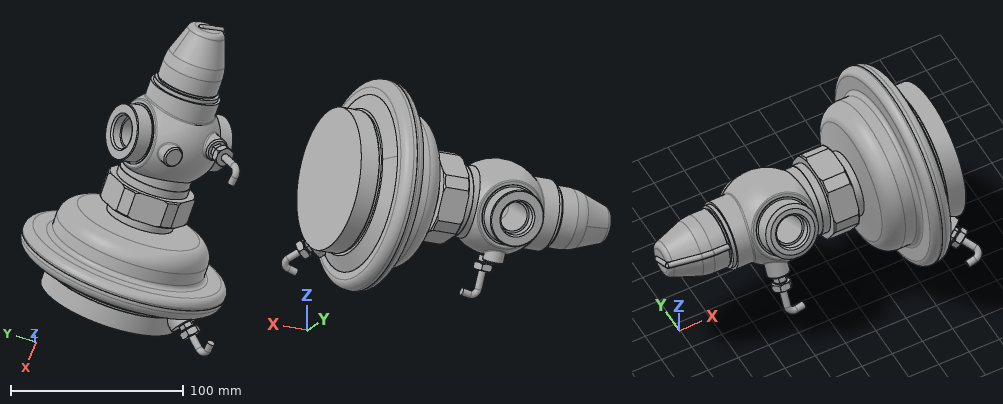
import cadquery as cq
import math


PORT_TILT = 30.0
PORT_X = 72.6
PIPE_R = 21.4
CAP_FACE_X = 1.6
CAP_FACE_R = 7.7
CAP_SHOULDER_X = 4.4
CAP_SHOULDER_R = 11.5
CAP_ROUND_MID = (2.2, 10.0)
CAP_CONE_END_X = 20.7
CAP_CONE_END_R = 17.2
CAP_R = 18.5
CAP_STRAIGHT_X = 27.6
CAP_END_X = 37.7
CAP_GROOVE_R = 17.7
CAP_GROOVE_END_X = 39.0
COLLAR_R = 19.8
COLLAR_END_X = 41.3
BAND_X = 97.3
BAND_R = 21.8

STRAP_R = 1.8
STRAP_RISE = 0.4
STRAP_TIP_R = 10.6
STRAP_OVERLAP = 4.2

BARREL_R = 28.4
BARREL_END_R = 20.3
BARREL_HALF = 22.9
BARREL_FILLET = 1.1
PORT_R = 16.8
PORT_REACH = 33.5
PORT_FRONT_REACH = 35.0
PORT_COLLAR_R = 18.0
PORT_COLLAR_REACH = 23.5
PORT_CHAMFER = 2.7
PORT_CHAMFER_LEN = 1.1
PORT_BACK_CHAMFER = 0.5
PORT_MOUTH_R = 11.0
PORT_BORE_R = 9.9
PORT_BORE_DEPTH = 6.0
PASSAGE_R = 8.6

BOSS_R = 7.0
PLUG_R = 6.2
BOSS_OFFSET = 13.9
BOSS_REACH = 30.5
BOSS_X = 65.0
BOSS_CHAMFER = 1.0
BOSS_FILLET = 0.7

NECK_HEX = 9.0
NECK_LEN = 4.0
FITTING_GROOVE_R = 3.8
FITTING_GROOVE_LEN = 0.7
FITTING_NUT_HEX = 12.8
FITTING_NUT_LEN = 4.4
FITTING_CHAMFER = 0.7
TUBE_R = 2.4
TUBE_BEND_R = 4.0
TUBE_END_LEN = 5.5
VALVE_TUBE_TURN = 100.0
ACTUATOR_TUBE_TURN = 115.0
ACTUATOR_TUBE_ROLL = 14.0
VALVE_TUBE_LEN = 11.5
ACTUATOR_TUBE_LEN = 8.5

NUT_X = 102.3
NUT_END_X = 118.9
NUT_SIDES = 6
NUT_APOTHEM = 25.0
NUT_CORNER_APOTHEM = 26.7
NUT_ROUND_R = 27.0
NUT_CHAMFER = 1.1

NECK_R = 20.3
DOME_X = 125.1
DOME_R = 46.6
DOME_ROUND_R = 10.6
DOME_ROUND_X = 138.1
DOME_TILT = 8.0
RIM_X = 148.4
RIM_END_X = 162.0
RIM_R = 62.5
RIM_ROUND = 4.8
RIM_BACK_ROUND = 5.7
DOME_FILLET = 2.7
SEAM_X = 154.2
SEAM_DEPTH = 0.2
BACK_CONE_R = 52.3
BACK_CONE_END_X = 167.2
BACK_CONE_END_R = 43.4
BACK_GROOVE_R = 41.5
BACK_GROOVE_END_X = 168.8
COVER_R = 42.3
COVER_END_X = 180.5

FITTING_TILT = 30.0
FITTING_LEAN = 54.0
FITTING_X = 169.4
FITTING_R = 48.8
ACTUATOR_BOSS_R = 9.1
ACTUATOR_BOSS_LEN = 12.0
ACTUATOR_BOSS_RIM = 1.1


def circle_point(centre_x, centre_y, radius, degrees):
    """Point at an angle on a circle."""
    angle = math.radians(degrees)
    return (centre_x + radius * math.cos(angle), centre_y + radius * math.sin(angle))


def cylinder(origin, direction, radius, length):
    return cq.Workplane(cq.Solid.makeCylinder(radius, length, cq.Vector(*origin), cq.Vector(*direction)))


def turned(profile):
    """Revolve a closed (x, radius) profile about X."""
    return profile.close().revolve(360, (0, 0, 0), (1, 0, 0))


def hexagon(plane, across_corners, length):
    return cq.Workplane(plane).polygon(6, across_corners).extrude(length)


def tube_fitting(plane, straight, turn):
    """Hex neck, nut and bent tube along the plane normal; the tube bends towards the plane's x."""
    def lifted(height):
        return cq.Plane(plane.toWorldCoords((0, 0, height)), plane.xDir, plane.zDir)

    nut_z = NECK_LEN + FITTING_GROOVE_LEN
    tube_z = nut_z + FITTING_NUT_LEN
    fitting = hexagon(plane, NECK_HEX, NECK_LEN)
    fitting = fitting.union(cq.Workplane(plane).circle(FITTING_GROOVE_R).extrude(nut_z))
    nut = hexagon(lifted(nut_z), FITTING_NUT_HEX, FITTING_NUT_LEN)
    rounding = (
        cq.Workplane(lifted(nut_z)).circle(FITTING_NUT_HEX / 2).extrude(FITTING_NUT_LEN)
        .edges().chamfer(FITTING_CHAMFER)
    )
    fitting = fitting.union(nut.intersect(rounding))

    def bend_point(degrees):
        angle = math.radians(degrees)
        return (TUBE_BEND_R * (1 - math.cos(angle)), straight + TUBE_BEND_R * math.sin(angle))

    bend_end = bend_point(turn)
    heading = math.radians(turn)
    tube_end = (
        bend_end[0] + TUBE_END_LEN * math.sin(heading),
        bend_end[1] + TUBE_END_LEN * math.cos(heading),
    )
    base = lifted(tube_z)
    bend_plane = cq.Plane(base.origin, base.xDir, base.xDir.cross(base.zDir))
    path = (
        cq.Workplane(bend_plane)
        .lineTo(0, straight)
        .threePointArc(bend_point(turn / 2), bend_end)
        .lineTo(*tube_end)
    )
    tube = cq.Workplane(base).circle(TUBE_R).sweep(path)
    return fitting.union(tube)


def valve_run():
    """Cap, collar and pipe turned about X."""
    profile = (
        cq.Workplane("XY")
        .moveTo(CAP_FACE_X, 0)
        .lineTo(CAP_FACE_X, CAP_FACE_R)
        .threePointArc(CAP_ROUND_MID, (CAP_SHOULDER_X, CAP_SHOULDER_R))
        .lineTo(CAP_CONE_END_X, CAP_CONE_END_R)
        .tangentArcPoint((CAP_STRAIGHT_X, CAP_R), relative=False)
        .lineTo(CAP_END_X, CAP_R)
        .lineTo(CAP_END_X, CAP_GROOVE_R)
        .lineTo(CAP_GROOVE_END_X, CAP_GROOVE_R)
        .lineTo(CAP_GROOVE_END_X, COLLAR_R)
        .lineTo(COLLAR_END_X, COLLAR_R)
        .lineTo(COLLAR_END_X, PIPE_R)
        .lineTo(BAND_X, PIPE_R)
        .lineTo(BAND_X, BAND_R)
        .lineTo(NUT_X, BAND_R)
        .lineTo(NUT_X, 0)
    )
    return turned(profile)


def valve_barrel():
    """Belly of the valve with flat ends around the ports."""
    return (
        cq.Workplane("XY", origin=(PORT_X, 0, 0))
        .moveTo(0, -BARREL_HALF)
        .lineTo(BARREL_END_R, -BARREL_HALF)
        .threePointArc((BARREL_R, 0), (BARREL_END_R, BARREL_HALF))
        .lineTo(0, BARREL_HALF)
        .close()
        .revolve(360, (0, 0, 0), (0, 1, 0))
        .edges("<Y or >Y").fillet(BARREL_FILLET)
    )


def cap_strap():
    """Round strap that follows the cap on the -Y side and crosses its tip."""
    straight_r = CAP_R + STRAP_RISE
    path = (
        cq.Workplane("XY")
        .moveTo(CAP_END_X, -straight_r)
        .lineTo(CAP_STRAIGHT_X, -straight_r)
        .lineTo(CAP_CONE_END_X, -CAP_CONE_END_R - STRAP_RISE)
        .lineTo(STRAP_R, -STRAP_TIP_R)
        .lineTo(STRAP_R, STRAP_OVERLAP)
    )
    section = cq.Workplane("YZ", origin=(CAP_END_X, -straight_r, 0)).circle(STRAP_R)
    strap = section.sweep(path, transition="round")
    return strap.union(cq.Workplane("XY", origin=(STRAP_R, STRAP_OVERLAP, 0)).sphere(STRAP_R))


def port_bore(face_y):
    """Bore from a port face inwards and passage on to the far side, with a countersunk mouth."""
    inward = -math.copysign(1, face_y)
    mouth_depth = PORT_MOUTH_R - PORT_BORE_R
    return (
        cq.Workplane("XY", origin=(PORT_X, face_y, 0))
        .lineTo(PORT_MOUTH_R, 0)
        .lineTo(PORT_BORE_R, inward * mouth_depth)
        .lineTo(PORT_BORE_R, inward * PORT_BORE_DEPTH)
        .lineTo(PASSAGE_R, inward * PORT_BORE_DEPTH)
        .lineTo(PASSAGE_R, -face_y)
        .lineTo(0, -face_y)
        .close()
        .revolve(360, (0, 0, 0), (0, 1, 0))
    )


def valve_core():
    """Run and barrel with rounded joints between them."""
    core = valve_run().union(valve_barrel())
    reach = PIPE_R + BARREL_FILLET
    joints = cq.selectors.BoxSelector(
        (PORT_X - reach, -BARREL_FILLET, -BARREL_FILLET), (PORT_X + reach, BARREL_FILLET, BARREL_FILLET)
    )
    return core.edges(joints).fillet(BARREL_FILLET)


def ports():
    """Both port stubs and the low rings around them."""
    front = cylinder((PORT_X, 0, 0), (0, -1, 0), PORT_R, PORT_FRONT_REACH)
    front = front.faces("<Y").chamfer(PORT_CHAMFER_LEN, PORT_CHAMFER)
    back = cylinder((PORT_X, 0, 0), (0, 1, 0), PORT_R, PORT_REACH)
    back = back.faces(">Y").chamfer(PORT_BACK_CHAMFER)
    rings = cylinder((PORT_X, -PORT_COLLAR_REACH, 0), (0, 1, 0), PORT_COLLAR_R, 2 * PORT_COLLAR_REACH)
    return front.union(back).union(rings)


def with_boss(body, x, y, radius):
    """Add a round boss pointing along -Z, with a rounded root."""
    boss = cylinder((x, y, 0), (0, 0, -1), radius, BOSS_REACH).faces("<Z").chamfer(BOSS_CHAMFER)
    reach = radius + BOSS_FILLET
    root = cq.selectors.BoxSelector(
        (x - reach, y - reach, BOSS_CHAMFER - BOSS_REACH + BOSS_FILLET),
        (x + reach, y + reach, 0),
        boundingbox=True,
    )
    return body.union(boss).edges(root).fillet(BOSS_FILLET)


def valve():
    body = with_boss(valve_core(), BOSS_X, -BOSS_OFFSET, BOSS_R)
    body = with_boss(body, PORT_X, BOSS_OFFSET, PLUG_R)
    body = body.union(cap_strap()).union(ports())
    body = body.cut(port_bore(-PORT_FRONT_REACH)).cut(port_bore(PORT_REACH))
    seat = cq.Plane((BOSS_X, -BOSS_OFFSET, -BOSS_REACH), (1, 0, 0), (0, 0, -1))
    body = body.union(tube_fitting(seat, VALVE_TUBE_LEN, VALVE_TUBE_TURN))
    return body.rotate((0, 0, 0), (1, 0, 0), -PORT_TILT)


def union_nut():
    """Hexagon with flat-topped corners, two of them at -Y and +Y."""
    length = NUT_END_X - NUT_X
    start = cq.Workplane("YZ", origin=(NUT_X, 0, 0))
    across_corners = 2 * NUT_APOTHEM / math.cos(math.pi / NUT_SIDES)
    truncating = 2 * NUT_CORNER_APOTHEM / math.cos(math.pi / NUT_SIDES)
    nut = start.polygon(NUT_SIDES, across_corners).extrude(length)
    corner_flats = start.polygon(NUT_SIDES, truncating).extrude(length)
    corner_flats = corner_flats.rotate((0, 0, 0), (1, 0, 0), 180 / NUT_SIDES)
    rounding = start.circle(NUT_ROUND_R).extrude(length).edges().chamfer(NUT_CHAMFER)
    nut = nut.intersect(corner_flats).intersect(rounding)
    return nut.cut(start.circle(NECK_R).extrude(length))


def actuator_housing():
    """Neck, dome, rim and cover turned about X; the neck runs through the union nut."""
    round_r = DOME_R - DOME_ROUND_R
    start = 180 - DOME_TILT
    seam_r = RIM_R - SEAM_DEPTH
    profile = (
        cq.Workplane("XY")
        .moveTo(NUT_X, 0)
        .lineTo(NUT_X, NECK_R)
        .lineTo(DOME_X, NECK_R)
        .lineTo(*circle_point(DOME_ROUND_X, round_r, DOME_ROUND_R, start))
        .threePointArc(
            circle_point(DOME_ROUND_X, round_r, DOME_ROUND_R, (start + 90) / 2),
            (DOME_ROUND_X, DOME_R),
        )
        .lineTo(RIM_X - DOME_FILLET, DOME_R)
        .tangentArcPoint((RIM_X, DOME_R + DOME_FILLET), relative=False)
        .lineTo(RIM_X, RIM_R - RIM_ROUND)
        .tangentArcPoint((RIM_X + RIM_ROUND, RIM_R), relative=False)
        .lineTo(SEAM_X, RIM_R)
        .lineTo(SEAM_X, seam_r)
        .lineTo(RIM_END_X - RIM_BACK_ROUND, seam_r)
        .tangentArcPoint((RIM_END_X, seam_r - RIM_BACK_ROUND), relative=False)
        .lineTo(RIM_END_X, BACK_CONE_R)
        .lineTo(BACK_CONE_END_X, BACK_CONE_END_R)
        .lineTo(BACK_CONE_END_X, BACK_GROOVE_R)
        .lineTo(BACK_GROOVE_END_X, BACK_GROOVE_R)
        .lineTo(BACK_GROOVE_END_X, COVER_R)
        .lineTo(COVER_END_X, COVER_R)
        .lineTo(COVER_END_X, 0)
    )
    return turned(profile)


def actuator_fitting():
    """Leaning boss with its impulse tube, built in the XY plane on the -Y side."""
    lean = math.radians(FITTING_LEAN)
    axis = (math.cos(lean), -math.sin(lean), 0)
    seat = cq.Plane((FITTING_X, -FITTING_R, 0), (-math.sin(lean), -math.cos(lean), 0), axis)
    rolled = seat.rotated((0, 0, ACTUATOR_TUBE_ROLL))
    boss = (
        cq.Workplane(seat).workplane(offset=ACTUATOR_BOSS_RIM)
        .circle(ACTUATOR_BOSS_R).extrude(-ACTUATOR_BOSS_LEN)
    )
    fitting = boss.union(tube_fitting(rolled, ACTUATOR_TUBE_LEN, ACTUATOR_TUBE_TURN))
    return fitting.rotate((0, 0, 0), (1, 0, 0), FITTING_TILT)


def actuator():
    return actuator_housing().union(actuator_fitting())


result = cq.Compound.makeCompound([valve().val(), union_nut().val(), actuator().val()])